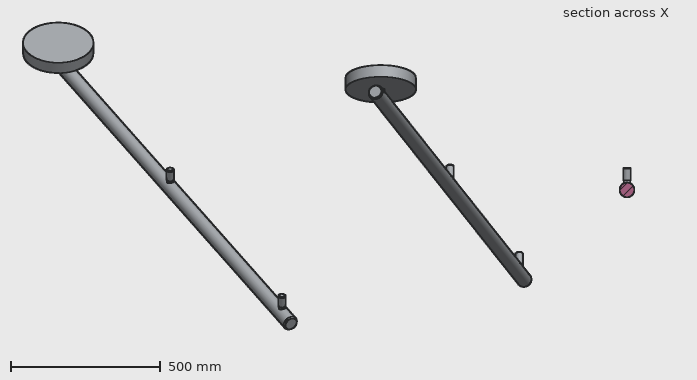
import cadquery as cq

overall_length = 1843.0
disc_diameter = 236.0
disc_height = 42.0
tube_diameter = 50.0
disc_gap = 7.0
tube_start = 52.0
bevel_length = 5.0
bevel_depth = 4.0
neck_diameter = 25.0
post_diameter = 25.0
post_neck_diameter = 22.0
post_chamfer = 4.0
post_positions = (947.0, 1775.0)

tube_radius = tube_diameter / 2
end_face_radius = tube_radius - bevel_depth
disc_center_x = disc_diameter / 2
disc_bottom = tube_radius + disc_gap
disc_top = disc_bottom + disc_height


def upright(center_x, diameter, bottom, top):
    """Vertical cylinder above the tube axis."""
    plane = cq.Workplane("XY", origin=(center_x, 0, bottom))
    return plane.circle(diameter / 2).extrude(top - bottom)


tube = (
    cq.Workplane("XZ")
    .moveTo(tube_start, 0)
    .lineTo(tube_start, end_face_radius)
    .lineTo(tube_start + bevel_length, tube_radius)
    .lineTo(overall_length - bevel_length, tube_radius)
    .lineTo(overall_length, end_face_radius)
    .lineTo(overall_length, 0)
    .close()
    .revolve(360, (0, 0, 0), (1, 0, 0))
)

disc = upright(disc_center_x, disc_diameter, disc_bottom, disc_top)
neck = upright(disc_center_x, neck_diameter, 0, disc_bottom)
result = tube.union(neck).union(disc)

for post_x in post_positions:
    post_neck = upright(post_x, post_neck_diameter, 0, disc_bottom)
    post = upright(post_x, post_diameter, disc_bottom, disc_top)
    result = result.union(post_neck).union(post.faces(">Z").chamfer(post_chamfer))